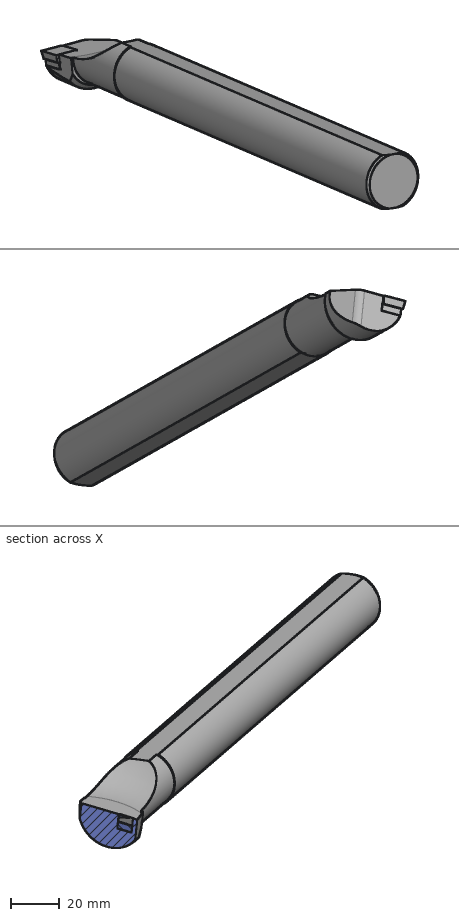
import cadquery as cq
import math

length = 250.0
shank_radius = 12.5
flat_height = 11.5
neck_radius = 12.2
neck_end = 50.0
end_chamfer = 1.0

face_x = 1.0
head_radius = 14.5
head_center_y = -2.0
head_center_z = -0.2
head_straight_end = 15.2
head_end = head_straight_end + head_radius - neck_radius

tip_y = -17.0
rake_angle = 6.0
cut_depth = 30.0
cut_margin = 25.0

scoop_center_x = -7.5
scoop_center_v = 17.0
scoop_flat_radius = 27.0
scoop_rim_radius = 31.5

corner_v = 20.8
corner_run = 3.6
corner_rise = 3.1
corner_fillet = 4.5

relief_start_v = 1.2
relief_slope = 8.0
relief_end_x = 30.0

insert_angle = 80.0
lead_angle = 2.0
insert_edge = 9.8
insert_upper = 3.5
insert_lower = 3.0
insert_clearance = 7.0
insert_step = 0.5


def rake_plane(offset=0.0):
    """Workplane on the rake face, its origin at the cutting tip."""
    plane = cq.Plane(origin=(0, tip_y, 0)).rotated((rake_angle, 0, 0))
    return cq.Workplane(plane).workplane(offset=offset)


def cylinder_x(radius, start, end, y=0.0, z=0.0):
    plane = cq.Plane(origin=(start, y, z), xDir=(0, 1, 0), normal=(1, 0, 0))
    return cq.Workplane(plane).circle(radius).extrude(end - start)


def make_shank():
    shank = cylinder_x(shank_radius, neck_end, length).faces(">X").chamfer(end_chamfer)
    neck = cylinder_x(neck_radius, face_x, neck_end)
    width = 2 * shank_radius
    bottom_flat = cq.Workplane("XY").box(length, width, width).translate(
        (neck_end + length / 2, 0, -flat_height - width / 2))
    top_flat = cq.Workplane("XY").box(2 * length, width, width).translate(
        (length / 2, 0, flat_height + width / 2))
    return shank.cut(bottom_flat).union(neck).cut(top_flat)


def make_head():
    straight = cylinder_x(head_radius, face_x, head_end, head_center_y, head_center_z)
    return straight.faces(">X").chamfer(head_end - head_straight_end)


def make_scoop():
    top = scoop_rim_radius
    rim_mid = math.sqrt(0.5) * scoop_rim_radius
    profile_plane = cq.Plane(origin=(0, tip_y, 0)).rotated((rake_angle, 0, 0)).rotated((90, 0, 0))
    profile_plane.origin = profile_plane.toWorldCoords((scoop_center_x, 0, -scoop_center_v))
    return (
        cq.Workplane(profile_plane)
        .lineTo(scoop_flat_radius, 0)
        .threePointArc((scoop_flat_radius + rim_mid, top - rim_mid),
                       (scoop_flat_radius + scoop_rim_radius, top))
        .lineTo(0, top)
        .close()
        .revolve(360, (0, 0, 0), (0, 1, 0))
    )


def make_corner_cut():
    """Region outside the chamfered and rounded front corner."""
    reach = cut_margin / corner_run
    outer_x = face_x - cut_margin
    far_x = face_x + corner_run * reach
    far_v = corner_v + corner_rise * reach
    keep = (
        rake_plane(-cut_depth)
        .moveTo(face_x, -cut_margin)
        .lineTo(face_x, corner_v)
        .lineTo(far_x, far_v)
        .lineTo(far_x, -cut_margin)
        .close()
        .extrude(2 * cut_depth)
    )
    corner_point = rake_plane().plane.toWorldCoords((face_x, corner_v, 0))
    keep = keep.edges(cq.selectors.NearestToPointSelector(corner_point.toTuple())).fillet(corner_fillet)
    block = (
        rake_plane(-cut_depth)
        .moveTo(outer_x, -cut_margin)
        .lineTo(far_x, -cut_margin)
        .lineTo(far_x, far_v)
        .lineTo(outer_x, far_v)
        .close()
        .extrude(2 * cut_depth)
    )
    return block.cut(keep)


def make_relief():
    rise = relief_end_x * math.tan(math.radians(relief_slope))
    return (
        rake_plane(-cut_depth)
        .moveTo(0, relief_start_v)
        .lineTo(relief_end_x, relief_start_v + rise)
        .lineTo(relief_end_x, -cut_margin)
        .lineTo(0, -cut_margin)
        .close()
        .extrude(2 * cut_depth)
    )


def insert_outline(edge, tip_inset=0.0):
    """Rhombus that keeps its inner corner while its outer two edges move in by tip_inset."""
    lead = math.radians(90 - lead_angle)
    side = math.radians(90 - lead_angle - insert_angle)
    lead_dir = (math.cos(lead), math.sin(lead))
    side_dir = (math.cos(side), math.sin(side))
    inner_x = edge * (lead_dir[0] + side_dir[0])
    inner_v = edge * (lead_dir[1] + side_dir[1])
    reach = edge - tip_inset / math.sin(math.radians(insert_angle))
    lead_x, lead_v = (reach * part for part in lead_dir)
    side_x, side_v = (reach * part for part in side_dir)
    return [
        (inner_x, inner_v),
        (inner_x - side_x, inner_v - side_v),
        (inner_x - side_x - lead_x, inner_v - side_v - lead_v),
        (inner_x - lead_x, inner_v - lead_v),
    ]


def make_pocket():
    """Straight-walled seat for the insert."""
    depth = insert_upper + insert_lower
    return rake_plane().polyline(insert_outline(insert_edge)).close().extrude(-depth)


def make_insert():
    """Tapered upper stage on a straight stage that fills the pocket's inner corner."""
    outline = insert_outline(insert_edge)
    upper = rake_plane().polyline(outline).close().extrude(-insert_upper, taper=insert_clearance)
    inset = insert_upper * math.tan(math.radians(insert_clearance)) + insert_step
    lower = (
        rake_plane(-insert_upper)
        .polyline(insert_outline(insert_edge, inset))
        .close()
        .extrude(-insert_lower)
    )
    return upper.union(lower)


insert = make_insert()
head = make_head().cut(make_relief())
bar = make_shank().union(head).cut(make_scoop()).cut(make_corner_cut()).cut(make_pocket())

result = cq.Compound.makeCompound([bar.solids().val(), insert.solids().val()])